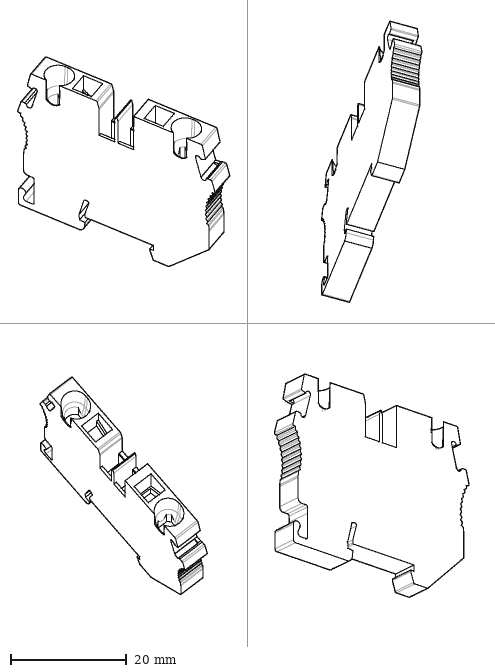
import cadquery as cq
import math

thickness = 5.0
height = 32.7
front_y = -thickness / 2
back_y = thickness / 2
pick_reach = 0.02

top_half_width = 17.3
upper_ear_tip = (17.97, 29.48)
upper_ear_radius = 0.2
notch_top_outer = (17.15, 29.15)
notch_top_inner = (15.96, 28.95)
notch_bottom_inner = (17.05, 24.81)
notch_bottom_outer = (18.05, 24.87)
lower_ear_top = 25.07
lower_ear_top_inner = 18.46
lower_ear_top_outer = 19.22
lower_ear_tip = (19.96, 22.22)
ear_radius = 0.3
ear_tip_radius = 0.25
top_corner_radius = 0.3
flank_half_width = 18.72
flank_blend_top = (18.6, 13.9)
flank_blend_bottom = (flank_half_width, 12.75)
flank_blend_radius = 3.0

grip_centre_x = 28.95
grip_centre_z = 16.74
grip_tip_radius = 10.72
tooth_depth = 0.31
tooth_tip_rounding = 0.3
tooth_pitch_angle = 5.3
top_tooth = 5
bottom_tooth = -2

groove_radius = 0.505
upper_groove = (16.44, 29.1)
lower_groove = (17.6, 24.84)
groove_back_wall = 0.6

flank_bottom_right = 8.15
right_foot_outer = flank_half_width - flank_bottom_right
right_foot_inner = 7.42
foot_ledge_z = 2.38
right_hook_tip = (6.72, 2.1)
rail_right = 7.44
rail_roof = 3.54
left_foot_arc_start = -7.3
left_foot_arc_middle = (-6.73, 0.45)
left_foot_arc_end = (-6.45, 1.3)
left_hook_tip = (-6.33, 2.25)
left_hook_root = -7.42
left_foot_waist = (-7.53, 3.6)
slit_top_left = (-6.5, 7.68)
slit_top_right = (-5.43, 7.68)
slit_bend = (-6.36, 4.3)
slit_end_radius = 0.4
rail_corner_radius = 0.2
right_hook_radius = 0.15
right_foot_radius = 0.3
right_flank_radius = 0.4

flank_bottom_left = 7.9
clip_recess_side = -16.61
clip_recess_waist = (-16.56, 6.4)
clip_recess_radius = 0.35
flank_bottom_radius = 0.85
clip_outer = -19.76
clip_head_radius = 0.77
clip_head_z = 3.47
clip_floor = 1.47
clip_corner_radius = 0.45
clip_floor_radius = 0.3
clip_throat = (-18.72, 2.35)
clip_pocket_middle = (-18.6, 1.72)
clip_pocket_start = -18.2
clip_web_thickness = 1.05
clip_web_outer_z = 4.27
clip_web_step_x = -17.25
clip_web_step_end_x = -17.1
clip_web_overlap = 0.3
clip_web_step_z = 4.42
clip_web_inner_z = 4.52

slot_half_width = 3.48
slot_floor = 24.7
slot_bevel_x = -3.89
slot_bevel_z = 31.1
slot_bevel_top_radius = 0.26
slot_bevel_bottom_radius = 1.5
blade_half_width = 0.34
blade_tip_half_width = 0.1
blade_shoulder_z = 29.95
blade_top = 30.75
slot_pocket_front_y = -1.95
slot_pocket_back_y = 1.65
slot_pocket_depth = 5.0
slot_pocket_chamfer = 0.13

screw_x = 12.8
screw_y = -0.31
screw_radius = 2.4
screw_flat = 0.54
screw_bore_depth = 4.75
screw_bore_inset = 0.25
screw_taper_angle = 10.0
screw_taper_inset = 0.72
screw_seat_depth = 10.0
screw_seat_inset = 0.55
screw_seat_inner_reach = 1.86
screw_seat_front_y = -1.73
screw_seat_back_y = 1.27
screw_window_half_width = 1.33
screw_window_side_depth = 4.65
screw_window_depth = 5.3

wire_outer_x = 9.16
wire_inner_x = 5.3
wire_front_y = -1.97
wire_back_y = 1.77
wire_ledge = 0.38
wire_ledge_front = 0.28
wire_depth = 6.0
wire_step = 2.0
wire_floor_angle = 35.0


def prism(outline, y_from, y_to):
    """Extrude a closed XZ wire between two Y positions."""
    return outline.extrude(y_from - y_to).translate((0, y_from, 0))


def polygon(points):
    return cq.Workplane("XZ").polyline(points).close()


def box_between(x_pair, y_pair, z_pair):
    """Box spanning two corners, given in any order."""
    size = [abs(b - a) for a, b in (x_pair, y_pair, z_pair)]
    low = [min(pair) for pair in (x_pair, y_pair, z_pair)]
    return cq.Workplane("XY").box(*size, centered=False).translate(tuple(low))


def mirrored(points):
    return [(-x, z) for x, z in points]


def grip_point(tooth, radius):
    angle = math.radians(tooth * tooth_pitch_angle)
    return (
        grip_centre_x - radius * math.cos(angle),
        grip_centre_z + radius * math.sin(angle),
    )


def upper_side():
    """Right-hand side from the top edge down to the plain flank."""
    points = [
        (top_half_width, height),
        upper_ear_tip,
        notch_top_outer,
        notch_top_inner,
        notch_bottom_inner,
        notch_bottom_outer,
        (lower_ear_top_inner, lower_ear_top),
        (lower_ear_top_outer, lower_ear_top),
        lower_ear_tip,
    ]
    root_radius = grip_tip_radius + tooth_depth
    for tooth in range(top_tooth, bottom_tooth - 1, -1):
        points.append(grip_point(tooth + 0.5, root_radius))
        points.append(grip_point(tooth, grip_tip_radius))
    points.append(grip_point(bottom_tooth - 0.5, root_radius))
    points.append(flank_blend_top)
    points.append(flank_blend_bottom)
    return points


def housing():
    right = upper_side()
    left = mirrored(right)
    left.reverse()
    outline = (
        cq.Workplane("XZ")
        .moveTo(slot_half_width, height)
        .polyline(right, includeCurrent=True)
        .lineTo(flank_half_width, flank_bottom_right)
        .lineTo(right_foot_outer, 0)
        .lineTo(right_foot_inner, 0)
        .lineTo(*right_hook_tip)
        .lineTo(right_hook_tip[0], foot_ledge_z)
        .lineTo(rail_right, foot_ledge_z)
        .lineTo(rail_right, rail_roof)
        .lineTo(slit_bend[0], rail_roof)
        .lineTo(*slit_bend)
        .lineTo(*slit_top_right)
        .lineTo(*slit_top_left)
        .lineTo(*left_foot_waist)
        .lineTo(left_hook_root, foot_ledge_z)
        .lineTo(*left_hook_tip)
        .lineTo(*left_foot_arc_end)
        .threePointArc(left_foot_arc_middle, (left_foot_arc_start, 0))
        .lineTo(clip_outer, 0)
        .lineTo(clip_outer, clip_head_z)
        .threePointArc(
            (clip_outer + clip_head_radius, clip_head_z + clip_head_radius),
            (clip_outer + 2 * clip_head_radius, clip_head_z),
        )
        .lineTo(*clip_throat)
        .threePointArc(clip_pocket_middle, (clip_pocket_start, clip_floor))
        .lineTo(clip_recess_side, clip_floor)
        .lineTo(*clip_recess_waist)
        .lineTo(clip_recess_side, flank_bottom_left)
        .lineTo(-flank_half_width, flank_bottom_left)
        .polyline(left, includeCurrent=True)
        .lineTo(slot_bevel_x, height)
        .lineTo(-slot_half_width, slot_bevel_z)
        .lineTo(-slot_half_width, slot_floor)
        .lineTo(slot_half_width, slot_floor)
        .close()
    )
    return prism(outline, front_y, back_y)


def round_corner(body, point, radius):
    """Fillet the Y-parallel edge that passes through an XZ point."""
    x, z = point
    selector = cq.selectors.BoxSelector(
        (x - pick_reach, front_y, z - pick_reach),
        (x + pick_reach, back_y, z + pick_reach),
    )
    return body.edges("|Y").edges(selector).fillet(radius)


def round_outline(body):
    both_sides = [
        ((top_half_width, height), top_corner_radius),
        (upper_ear_tip, upper_ear_radius),
        (flank_blend_top, tooth_tip_rounding),
        (flank_blend_bottom, flank_blend_radius),
        ((lower_ear_top_outer, lower_ear_top), ear_radius),
        (lower_ear_tip, ear_tip_radius),
    ]
    for tooth in range(bottom_tooth, top_tooth + 1):
        both_sides.append((grip_point(tooth, grip_tip_radius), tooth_tip_rounding))
    corners = [
        ((slot_bevel_x, height), slot_bevel_top_radius),
        ((-slot_half_width, slot_bevel_z), slot_bevel_bottom_radius),
        (slit_top_left, slit_end_radius),
        (slit_top_right, slit_end_radius),
        ((slit_bend[0], rail_roof), rail_corner_radius),
        (right_hook_tip, right_hook_radius),
        ((right_foot_inner, 0), right_foot_radius),
        ((flank_half_width, flank_bottom_right), right_flank_radius),
        ((-flank_half_width, flank_bottom_left), flank_bottom_radius),
        ((clip_recess_side, flank_bottom_left), clip_recess_radius),
        ((clip_outer, 0), clip_corner_radius),
        ((clip_recess_side, clip_floor), clip_floor_radius),
    ]
    for point, radius in both_sides:
        corners.append((point, radius))
        corners.append(((-point[0], point[1]), radius))
    for point, radius in corners:
        body = round_corner(body, point, radius)
    return body


def notch_grooves():
    centres = [upper_groove, lower_groove]
    circles = cq.Workplane("XZ").pushPoints(centres + mirrored(centres)).circle(groove_radius)
    return prism(circles, front_y, back_y - groove_back_wall)


def clip_web():
    """Thin wall closing the back of the release clip pocket."""
    outline = polygon([
        (clip_outer + clip_head_radius, clip_floor - clip_web_overlap),
        (clip_recess_side, clip_floor - clip_web_overlap),
        (clip_recess_side, clip_web_inner_z),
        (clip_web_step_end_x, clip_web_inner_z),
        (clip_web_step_x, clip_web_step_z),
        (clip_outer + clip_head_radius, clip_web_outer_z),
    ])
    return prism(outline, back_y - clip_web_thickness, back_y)


def slot_pocket():
    """Hollow under the slot floor, with its back rim chamfered."""
    hollow = box_between(
        (-slot_half_width, slot_half_width),
        (slot_pocket_front_y, slot_pocket_back_y),
        (slot_floor - slot_pocket_depth, slot_floor),
    )
    rim = (
        cq.Workplane("YZ")
        .moveTo(slot_pocket_back_y, slot_floor - slot_pocket_chamfer)
        .lineTo(slot_pocket_back_y + slot_pocket_chamfer, slot_floor)
        .lineTo(slot_pocket_back_y, slot_floor)
        .close()
        .extrude(slot_half_width, both=True)
    )
    return hollow.union(rim)


def blade():
    outline = polygon([
        (-blade_half_width, slot_floor - slot_pocket_depth),
        (blade_half_width, slot_floor - slot_pocket_depth),
        (blade_half_width, blade_shoulder_z),
        (blade_tip_half_width, blade_top),
        (-blade_tip_half_width, blade_top),
        (-blade_half_width, blade_shoulder_z),
    ])
    return prism(outline, front_y, back_y)


def stadium(radius, z):
    return (
        cq.Workplane("XY", origin=(screw_x, screw_y, z))
        .slot2D(screw_flat + 2 * radius, 2 * radius)
    )


def screw_hole():
    """Right-hand screw hole."""
    bore_angle = math.degrees(math.atan(screw_bore_inset / screw_bore_depth))
    bore_bottom = height - screw_bore_depth
    taper_radius = screw_radius - screw_bore_inset
    taper_depth = screw_taper_inset / math.tan(math.radians(screw_taper_angle))
    seat_outer_reach = screw_radius + screw_flat / 2
    seat_depth = screw_seat_depth - screw_bore_depth
    bore = stadium(screw_radius, height).extrude(-screw_bore_depth, taper=bore_angle)
    taper = stadium(taper_radius, bore_bottom).extrude(-taper_depth, taper=screw_taper_angle)
    seat_limits = box_between(
        (screw_x - screw_seat_inner_reach, screw_x + seat_outer_reach),
        (screw_seat_front_y, screw_seat_back_y),
        (bore_bottom - seat_depth, bore_bottom),
    )
    seat = stadium(screw_radius - screw_seat_inset, bore_bottom).extrude(-seat_depth)
    return bore.union(taper).union(seat.intersect(seat_limits)).union(screw_window())


def screw_window():
    """Round-bottomed opening from the front face into the right-hand screw hole."""
    left = screw_x - screw_window_half_width
    right = screw_x + screw_window_half_width
    side_bottom = height - screw_window_side_depth
    outline = (
        cq.Workplane("XZ")
        .moveTo(left, height)
        .lineTo(left, side_bottom)
        .threePointArc((screw_x, height - screw_window_depth), (right, side_bottom))
        .lineTo(right, height)
        .close()
    )
    return prism(outline, front_y, screw_seat_front_y)


def sloped_pocket(inner_x, front, back, depth):
    """Pocket whose floor falls towards the middle of the block."""
    floor_inner = height - depth
    rise = (wire_outer_x - inner_x) * math.tan(math.radians(wire_floor_angle))
    outline = polygon([
        (inner_x, height),
        (wire_outer_x, height),
        (wire_outer_x, floor_inner + rise),
        (inner_x, floor_inner),
    ])
    return prism(outline, front, back)


def wire_entry():
    """Right-hand wire entry."""
    mouth = sloped_pocket(wire_inner_x, wire_front_y, wire_back_y, wire_depth)
    throat = sloped_pocket(
        wire_inner_x + wire_ledge,
        wire_front_y + wire_ledge_front,
        wire_back_y - wire_ledge,
        wire_depth + wire_step,
    )
    return mouth.union(throat)


body = round_outline(housing())
body = body.cut(notch_grooves()).union(clip_web())
body = body.cut(slot_pocket()).union(blade())
for opening in (screw_hole(), wire_entry()):
    body = body.cut(opening).cut(opening.mirror("YZ"))

result = body